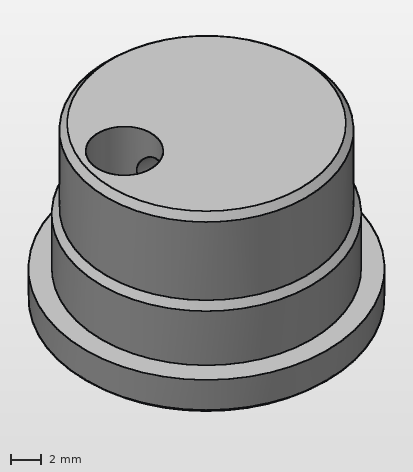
import cadquery as cq

total_height = 15.0
flange_height = 3.0
shoulder_height = 8.0

flange_diameter = 23.0
collar_diameter = 20.0
head_diameter = 19.0

chamfer = 0.5

bore_diameter = 5.0
bore_center_y = -6.0

cross_hole_diameter = 3.44
cross_hole_height = (shoulder_height + total_height) / 2


def step(diameter, bottom, top):
    """Coaxial cylinder between two heights."""
    return cq.Workplane("XY").workplane(offset=bottom).circle(diameter / 2).extrude(top - bottom)


def stepped_body():
    """Flange, collar and head with their chamfered outer edges."""
    flange = step(flange_diameter, 0, flange_height).faces("<Z").chamfer(chamfer)
    collar = step(collar_diameter, flange_height, shoulder_height).faces(">Z").chamfer(chamfer)
    head = step(head_diameter, shoulder_height, total_height).faces(">Z").chamfer(chamfer)
    return flange.union(collar).union(head)


def eccentric_bore():
    """Cutter for the through bore."""
    return cq.Workplane("XY").center(0, bore_center_y).circle(bore_diameter / 2).extrude(total_height)


def cross_hole():
    """Cutter that runs from the bore axis out through the +Y side of the head."""
    length = head_diameter / 2 - bore_center_y
    start = cq.Workplane("XZ", origin=(0, bore_center_y, cross_hole_height))
    return start.circle(cross_hole_diameter / 2).extrude(-length)


result = stepped_body().cut(eccentric_bore()).cut(cross_hole())